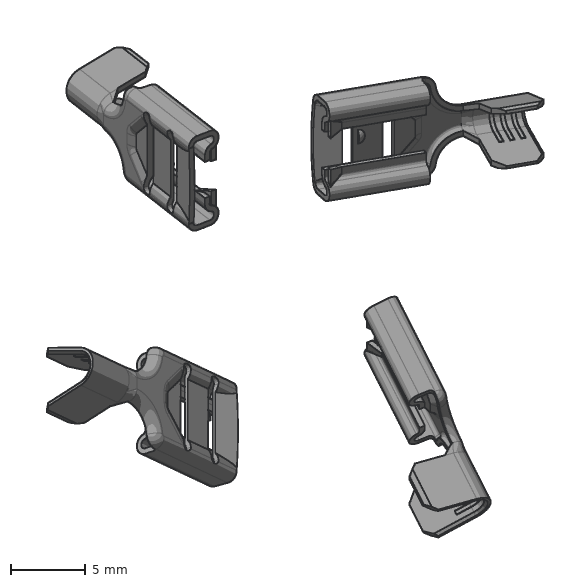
import cadquery as cq
import math


sheet = 0.4
flange_height = 0.8
fold_radius = 0.74
margin = 0.15
tolerance = 0.02

barrel_length = 3.81
barrel_radius = 1.43
arm_angle = 15.0
arm_tip_y = 4.7
bevel_length = 0.37
bevel_depth = 0.17
entry_length = 0.23
arm_corner = 0.8
groove_count = 3
groove_start_x = 0.83
groove_pitch = 0.8
groove_width = 0.3
groove_depth = 0.06
groove_top_y = 2.25

neck_x = 4.63
neck_half_width = 1.15
neck_arc_radius = 2.01
transition_top_y = 1.68
transition_split = 35.0

length = 15.37
half_width = 3.69
corner_x = 7.52
wall_start_x = 7.72
wall_fillet = 0.3
roll_radius = fold_radius
roll_inner = roll_radius - sheet
roll_y = 1.81
lip_z = 1.41
lip_y = 1.38
flare_start_x = 13.83
flare_end_x = 14.91
flare_rise = 0.63
flare_inner_z = 1.17
flare_outer_z = 2.46
mouth_top_x = 15.03
mouth_bottom_x = 15.23
tongue_side_x = 15.25

recess_depth = 0.29
recess_thickness = 0.25
recess_radius = 1.05
recess_side_z = half_width - fold_radius
recess_start_x = corner_x
recess_nose_half = 0.89
recess_corner = 0.08
slot_width = 0.75
slot_starts = (9.64, 12.55)
slot_half_length = 3.18
ramp_x = slot_starts[-1] + slot_width
detent_x = 12.19
detent_half = 0.65


def profile(x):
    """Sketch plane across the part at x, with local axes Y and Z."""
    return cq.Workplane("YZ", origin=(x, 0, 0))


def plan(y):
    """Sketch plane parallel to the floor at y, with local axes X and Z, facing -Y."""
    return cq.Workplane(cq.Plane(origin=(0, y, 0), xDir=(1, 0, 0), normal=(0, -1, 0)))


def flip(point):
    """Mirror of a sketch point about Z = 0."""
    return (point[0], -point[1])


def mirrored(body):
    """A body together with its mirror image about Z = 0."""
    return body.union(body.mirror("XY"))


def box(x_range, y_range, z_range):
    size = [high - low for low, high in (x_range, y_range, z_range)]
    corner = (x_range[0], y_range[0], z_range[0])
    return cq.Workplane("XY").box(*size, centered=False).translate(corner)


def u_point(inset, angle):
    """Point on the U arc; inset is measured inwards, angle from the bottom of the U."""
    radius = barrel_radius - inset
    a = math.radians(angle)
    return (barrel_radius - radius * math.cos(a), radius * math.sin(a))


def arm_point(inset, along):
    """Point on a barrel arm, a distance along it past the end of the U arc."""
    y, z = u_point(inset, 90 - arm_angle)
    a = math.radians(arm_angle)
    return (y + along * math.cos(a), z + along * math.sin(a))


def arm_run(inset, y):
    """Distance along an arm, past the U arc, at which it reaches height y."""
    return (y - arm_point(inset, 0)[0]) / math.cos(math.radians(arm_angle))


def barrel_outline(x, inset_out, inset_in, run):
    """U outline between two insets, with arms of the given run."""
    tangent = 90 - arm_angle
    outer_end = arm_point(inset_out, run)
    inner_end = arm_point(inset_in, run)
    return (
        profile(x)
        .moveTo(*flip(outer_end))
        .lineTo(*flip(u_point(inset_out, tangent)))
        .threePointArc(u_point(inset_out, 0), u_point(inset_out, tangent))
        .lineTo(*outer_end)
        .lineTo(*inner_end)
        .lineTo(*u_point(inset_in, tangent))
        .threePointArc(u_point(inset_in, 0), flip(u_point(inset_in, tangent)))
        .lineTo(*flip(inner_end))
        .close()
    )


arm_length = arm_run(sheet, arm_tip_y)


def tip_bevel():
    """Wedge that thins the outer side of one arm tip."""
    return (
        profile(-margin)
        .polyline([
            arm_point(0, arm_length - bevel_length),
            arm_point(-margin, arm_length - bevel_length),
            arm_point(-margin, arm_length + margin),
            arm_point(bevel_depth, arm_length + margin),
            arm_point(bevel_depth, arm_length),
        ])
        .close()
        .extrude(barrel_length + 2 * margin)
    )


def arm_corner_cuts():
    """45 degree cuts at both ends of the arm tips."""
    low_y = arm_tip_y - arm_corner
    high_y = arm_tip_y + margin
    reach = arm_corner + margin
    cuts = cq.Workplane("XY")
    for end_x, inward in ((0, 1), (barrel_length, -1)):
        cut = (
            cq.Workplane("XY", origin=(0, 0, -half_width))
            .polyline([(end_x - inward * margin, low_y - margin),
                       (end_x + inward * reach, high_y),
                       (end_x - inward * margin, high_y)])
            .close()
            .extrude(2 * half_width)
        )
        cuts = cuts.add(cut)
    return cuts.combine()


def entry_bevel():
    """Tapered ring that thins the inner side of the barrel at the wire entry."""
    cut_reach = arm_length + margin
    front = barrel_outline(0, sheet - bevel_depth, sheet + bevel_depth, cut_reach)
    back = barrel_outline(entry_length, sheet, sheet + bevel_depth, cut_reach)
    return cq.Workplane(cq.Solid.makeLoft([front.val(), back.val()], True))


def grooves():
    """Shallow wire-grip grooves across the inside of the U."""
    run = arm_run(sheet, groove_top_y)
    cuts = cq.Workplane("XY")
    for i in range(groove_count):
        x = groove_start_x + i * groove_pitch - groove_width / 2
        groove = barrel_outline(x, sheet - groove_depth, sheet + groove_depth, run)
        cuts = cuts.add(groove.extrude(groove_width))
    return cuts.combine()


def make_barrel():
    barrel = barrel_outline(0, 0, sheet, arm_length).extrude(barrel_length)
    barrel = barrel.cut(mirrored(tip_bevel()))
    barrel = barrel.cut(arm_corner_cuts())
    barrel = barrel.cut(entry_bevel())
    return barrel.cut(grooves())


def fold_point(inset, angle):
    """Point on the neck's fold; angle runs from the floor tangent to the wall."""
    radius = fold_radius - inset
    a = math.radians(angle)
    center_z = neck_half_width - fold_radius
    return (fold_radius - radius * math.cos(a), center_z + radius * math.sin(a))


def barrel_points(inset):
    """Half outline at the barrel: arm end, arm tangent, side arc middle and end, bottom."""
    tangent = 90 - arm_angle
    run = arm_run(inset, transition_top_y)
    angles = (tangent, (tangent + transition_split) / 2, transition_split, 0)
    return [arm_point(inset, run)] + [u_point(inset, angle) for angle in angles]


def neck_points(inset):
    """Half outline at the neck, with points matching those at the barrel."""
    top = (flange_height, neck_half_width - inset)
    return [top] + [fold_point(inset, angle) for angle in (90, 45, 0)] + [(inset, 0)]


def bottom_edge(sketch, bottom, end):
    """Arc through the bottom point, or a line where the bottom is flat."""
    if abs(bottom[0] - end[0]) < tolerance:
        return sketch.lineTo(*end)
    return sketch.threePointArc(bottom, end)


def trough_section(x, half_outline):
    """Closed wire across the part, mirrored about Z = 0."""
    end, tangent, middle, split, bottom = half_outline(0)
    in_end, in_tangent, in_middle, in_split, in_bottom = half_outline(sheet)
    sketch = profile(x).moveTo(*flip(end)).lineTo(*flip(tangent))
    sketch = sketch.threePointArc(flip(middle), flip(split))
    sketch = bottom_edge(sketch, bottom, split)
    sketch = sketch.threePointArc(middle, tangent).lineTo(*end).lineTo(*in_end).lineTo(*in_tangent)
    sketch = sketch.threePointArc(in_middle, in_split)
    sketch = bottom_edge(sketch, in_bottom, flip(in_split))
    return sketch.threePointArc(flip(in_middle), flip(in_tangent)).lineTo(*flip(in_end)).close().val()


def make_transition():
    sections = [trough_section(barrel_length, barrel_points), trough_section(neck_x, neck_points)]
    return cq.Workplane(cq.Solid.makeLoft(sections, True))


def pan_outline(y, inset, end_x):
    """Plan outline at height y, shrunk by inset on its sides."""
    arc_radius = neck_arc_radius + inset
    arc_z = neck_half_width + neck_arc_radius
    run = corner_x - neck_x
    drop = arc_z - half_width
    corner = (run**2 + drop**2 - neck_arc_radius**2) / (2 * (neck_arc_radius - drop))
    corner_z = half_width - corner
    lean = math.atan2(arc_z - corner_z, run)
    corner_radius = corner - inset
    corner_mid = math.pi / 2 + (math.pi / 2 - lean) / 2

    def on_neck_arc(a):
        return (neck_x + arc_radius * math.cos(a), arc_z + arc_radius * math.sin(a))

    def on_corner(a):
        return (corner_x + corner_radius * math.cos(a), corner_z + corner_radius * math.sin(a))

    start = on_neck_arc(-math.pi / 2)
    neck_mid = on_neck_arc((-math.pi / 2 - lean) / 2)
    neck_end = on_neck_arc(-lean)
    side = half_width - inset

    return (
        plan(y)
        .moveTo(*flip(start))
        .lineTo(*start)
        .threePointArc(neck_mid, neck_end)
        .threePointArc(on_corner(corner_mid), (corner_x, side))
        .lineTo(end_x, side)
        .lineTo(end_x, -side)
        .lineTo(corner_x, -side)
        .threePointArc(flip(on_corner(corner_mid)), flip(neck_end))
        .threePointArc(flip(neck_mid), flip(start))
        .close()
    )


def rounded_tray(inset, y, height, radius, end_x):
    """Plan block whose lower side edges are rounded."""
    block = pan_outline(y, inset, end_x).extrude(-height)
    return block.faces("<Y").edges("not |Z").fillet(radius)


def make_pan():
    """Floor with folded sides: low flanges along the neck, walls along the receptacle."""
    past_mouth = length + margin
    outer = rounded_tray(0, 0, roll_y, fold_radius, past_mouth)
    cavity = rounded_tray(sheet, sheet, roll_y, fold_radius - sheet, past_mouth + margin)
    above_neck = (
        box((neck_x - margin, wall_start_x), (flange_height, roll_y + margin),
            (-half_width - margin, half_width + margin))
        .edges(">X and <Y")
        .fillet(wall_fillet)
    )
    return outer.cut(cavity).cut(above_neck)


def recess_tool(y, radius, depth):
    """Body of the recess above height y, fading out towards the mouth.

    Its sides are arcs of the given radius that meet height y tangentially.
    """
    end_x = length + margin
    nose_x = recess_start_x + radius
    side_z = recess_side_z - radius
    nose_half = recess_nose_half - radius * math.tan(math.pi / 8)
    shoulder_x = nose_x + side_z - nose_half
    plate_top = y + radius + margin
    plate = box((0, end_x), (y, plate_top), (-half_width, half_width))
    outline = [(nose_x, nose_half), (shoulder_x, side_z), (end_x + margin, side_z)]
    outline += [flip(point) for point in reversed(outline)]
    opening = plan(y - margin).polyline(outline).close().extrude(-(plate_top - y + 2 * margin))
    opening = opening.edges("|Y and (not >X)").fillet(recess_corner)
    rim = cq.selectors.BoxSelector((margin, y - tolerance, -half_width + margin),
                                   (end_x - tolerance, y + tolerance, half_width - margin))
    plate = plate.cut(opening).faces("<Y").edges(rim).fillet(radius)
    depth_limit = (
        cq.Workplane("XY", origin=(0, 0, -half_width + margin))
        .polyline([(margin, y), (margin, y + depth), (ramp_x, y + depth), (length, y)])
        .close()
        .extrude(2 * (half_width - margin))
    )
    return depth_limit.cut(plate)


def recess_backing():
    """Material raised on the inside of the floor, taller between the recess nose and the first slot."""
    radius = recess_radius - sheet
    floor = recess_tool(sheet, radius, recess_depth + recess_thickness - sheet)
    nose = recess_tool(sheet, radius, flange_height - sheet)
    nose_end = slot_starts[0] + slot_width / 2
    before_slot = box((0, nose_end), (0, roll_y), (-half_width, half_width))
    return floor.union(nose.intersect(before_slot))


def make_roll():
    """One wall edge rolled inwards, bent back into a lip and flared at the mouth."""
    center_z = half_width - roll_radius
    lip_top = lip_y + sheet
    bend_y = lip_top + roll_inner
    reach = roll_radius + roll_inner
    swing = math.asin((bend_y - roll_y) / reach)
    bend_z = center_z - reach * math.cos(swing)

    def polar(y, z, radius, angle):
        return (y + radius * math.sin(angle), z + radius * math.cos(angle))

    def on_roll(radius, angle):
        return polar(roll_y, center_z, radius, angle)

    def on_bend(radius, angle):
        return polar(bend_y, bend_z, radius, angle)

    roll_end = math.pi - swing
    bend_start = -swing
    bend_mid = (bend_start - math.pi / 2) / 2
    roll = (
        profile(wall_start_x)
        .moveTo(roll_y, half_width)
        .threePointArc(on_roll(roll_radius, roll_end / 2), on_roll(roll_radius, roll_end))
        .threePointArc(on_bend(roll_inner, bend_mid), (lip_top, bend_z))
        .lineTo(lip_top, lip_z)
        .lineTo(lip_y, lip_z)
        .lineTo(lip_y, bend_z)
        .threePointArc(on_bend(roll_radius, bend_mid), on_roll(roll_inner, roll_end))
        .threePointArc(on_roll(roll_inner, roll_end / 2), (roll_y, half_width - sheet))
        .close()
        .extrude(length - wall_start_x)
    )
    flare = (
        profile(flare_start_x)
        .polyline([(lip_y, lip_z), (lip_top, lip_z), (lip_top, bend_z), (lip_y, bend_z)])
        .close()
        .workplane(offset=flare_end_x - flare_start_x)
        .polyline([(lip_y + flare_rise, flare_inner_z), (lip_top + flare_rise, flare_inner_z),
                   (lip_top + flare_rise, flare_outer_z), (lip_y + flare_rise, flare_outer_z)])
        .close()
        .loft(ruled=True)
    )
    return roll.union(flare)


def slots():
    """Round-ended slots through the floor and into its folds."""
    cuts = cq.Workplane("XY")
    for start in slot_starts:
        slot = (
            plan(-margin)
            .center(start + slot_width / 2, 0)
            .slot2D(2 * slot_half_length, slot_width, 90)
            .extrude(-lip_y)
        )
        cuts = cuts.add(slot)
    return cuts.combine()


def detent():
    """Half dome on the inside of the recessed floor, with its flat side towards the mouth."""
    height = flange_height - recess_depth
    radius = (detent_half**2 + height**2) / (2 * height)
    dome = cq.Workplane("XY").sphere(radius).translate((detent_x, flange_height - radius, 0))
    base_y = recess_depth + recess_thickness / 2
    return dome.intersect(box((detent_x - radius, detent_x), (base_y, flange_height), (-radius, radius)))


def mouth_trim():
    """Everything past the slanted wall ends and the bowed floor end."""
    past = length + 2 * margin
    top_y = roll_y + roll_radius
    walls = (
        cq.Workplane("XY", origin=(0, 0, -half_width - margin))
        .polyline([(mouth_bottom_x, 0), (mouth_top_x, top_y), (mouth_top_x, top_y + margin),
                   (past, top_y + margin), (past, -margin), (mouth_bottom_x, -margin)])
        .close()
        .extrude(2 * (half_width + margin))
    )
    tongue = (
        plan(-2 * margin)
        .moveTo(corner_x, -recess_side_z)
        .lineTo(tongue_side_x, -recess_side_z)
        .threePointArc((length, 0), (tongue_side_x, recess_side_z))
        .lineTo(corner_x, recess_side_z)
        .close()
        .extrude(-(fold_radius + 2 * margin))
    )
    return walls.cut(tongue)


receptacle = make_pan().union(recess_backing())
receptacle = receptacle.cut(recess_tool(0, recess_radius, recess_depth))
receptacle = receptacle.union(detent()).union(mirrored(make_roll()))
receptacle = receptacle.cut(slots()).cut(mouth_trim())
result = make_barrel().union(make_transition()).union(receptacle)